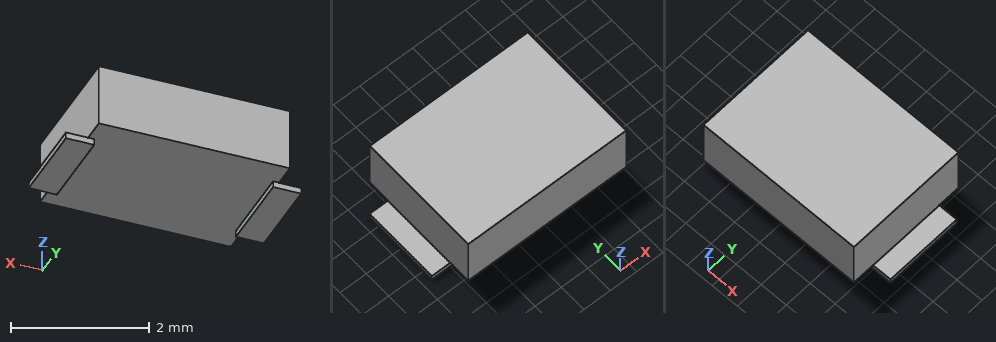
import cadquery as cq

overall_length = 3.69
overall_height = 1.1
body_length = 2.995
body_width = 2.2
lead_length = 0.443
lead_width = 1.395
lead_thickness = 0.1

body_height = overall_height - lead_thickness
lead_center_x = (overall_length - lead_length) / 2


def make_body():
    """Rectangular package body resting on top of the leads."""
    return (
        cq.Workplane("XY")
        .workplane(offset=lead_thickness)
        .rect(body_length, body_width)
        .extrude(body_height)
    )


def make_lead(side):
    """Flat lead tucked under one end of the body; side is -1 or +1 along X."""
    return (
        cq.Workplane("XY")
        .center(side * lead_center_x, 0)
        .rect(lead_length, lead_width)
        .extrude(lead_thickness)
    )


body = make_body()
leads = [make_lead(side) for side in (-1, 1)]

result = cq.Compound.makeCompound([body.val(), *[lead.val() for lead in leads]])